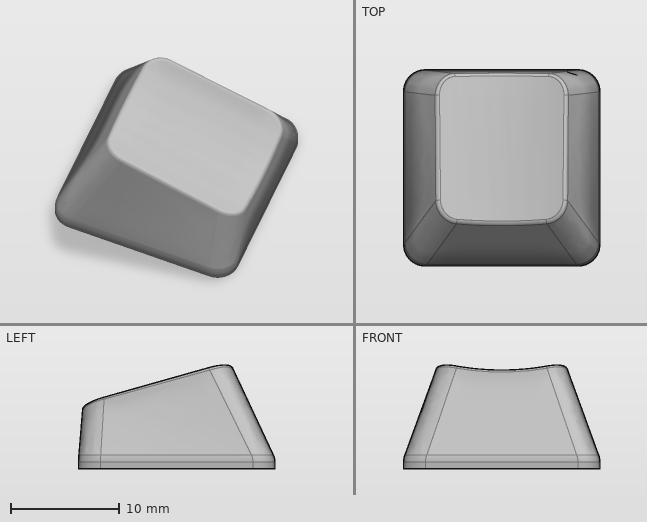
import cadquery as cq
import math

base_size = 18.16
corner_radius = 2.03
skirt_height = 0.65
bend_height = 0.65
bend_steps = 4

side_slope = 0.4
front_slope = 0.47
back_slope = 0.08

top_tilt = 15.9
top_width = 11.88
top_front_y = -4.8
top_back_y = 8.65
top_middle_z = 8.2

dish_radius = 21.8
dish_depth = 0.98
dish_length = 2 * base_size
rim_radius = 0.36

tilt = math.radians(top_tilt)
top_middle_y = (top_front_y + top_back_y) / 2
top_middle = cq.Vector(0, top_middle_y, top_middle_z)
top_depth = (top_back_y - top_front_y) / math.cos(tilt)


def rounded_outline(width, depth):
    return cq.Sketch().rect(width, depth).vertices().fillet(corner_radius)


def foot_outline(height):
    """Level outline at a height within the bend; the bend is a parabola in section."""
    travel = (height - skirt_height) ** 2 / (2 * bend_height)
    front = travel * front_slope
    back = travel * back_slope
    outline = rounded_outline(base_size - 2 * travel * side_slope, base_size - front - back)
    return outline.moved(cq.Location(cq.Vector(0, (front - back) / 2, height)))


def make_skirt():
    skirt_outline = rounded_outline(base_size, base_size)
    return cq.Workplane("XY").placeSketch(skirt_outline).extrude(skirt_height)


def make_bend():
    heights = [skirt_height + bend_height * step / bend_steps for step in range(bend_steps + 1)]
    outlines = [foot_outline(height) for height in heights]
    return cq.Workplane("XY").placeSketch(*outlines).loft()


def make_walls():
    lower = foot_outline(skirt_height + bend_height)
    slope_location = cq.Location(top_middle, cq.Vector(1, 0, 0), -top_tilt)
    upper = rounded_outline(top_width, top_depth).moved(slope_location)
    return cq.Workplane("XY").placeSketch(lower, upper).loft(ruled=True)


def make_dish_cutter():
    down_slope = cq.Vector(0, math.cos(tilt), -math.sin(tilt))
    upward = cq.Vector(0, math.sin(tilt), math.cos(tilt))
    axis_middle = top_middle + upward * (dish_radius - dish_depth)
    start = axis_middle - down_slope * (dish_length / 2)
    return cq.Workplane(cq.Solid.makeCylinder(dish_radius, dish_length, start, down_slope))


body = make_skirt().union(make_bend()).union(make_walls()).cut(make_dish_cutter())
result = body.faces("%CYLINDER").faces(">Z").edges().fillet(rim_radius)